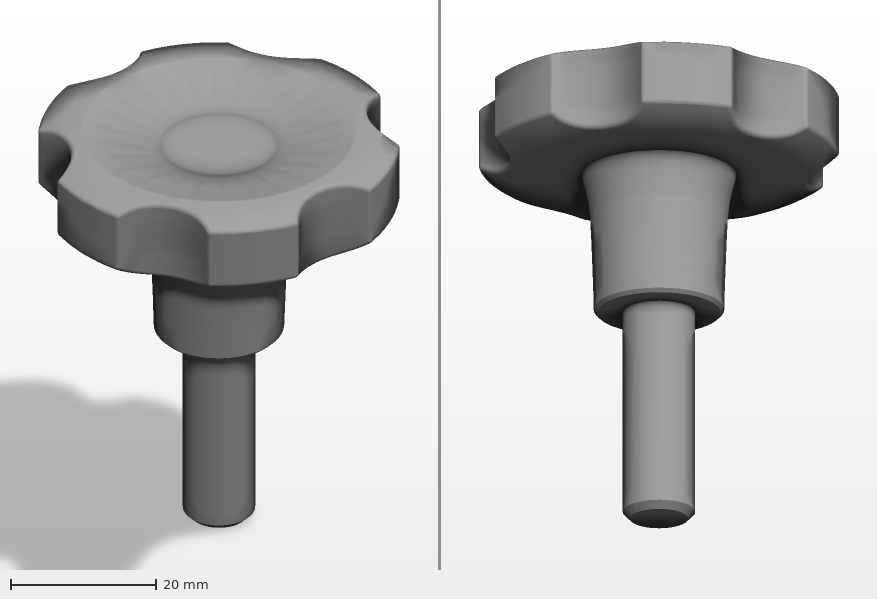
import cadquery as cq
import math

total_height = 62.0
stud_length = 30.0
head_thickness = 12.0
head_bottom = total_height - head_thickness

stud_radius = 10.0 / 2
stud_chamfer = 1.0

boss_end_radius = 9.0
boss_waist_radius = 9.5
boss_waist_height = 44.0
boss_top_radius = 10.65
boss_flare_sag = 0.2
boss_edge_chamfer = 0.5

head_radius = 24.9
top_shoulder_drop = 1.3
bottom_shoulder_drop = 2.05
shoulder_radius = 18.9
head_fillet = 0.6

scallop_count = 6
scallop_radius = 8.45
scallop_depth_radius = 20.9
first_scallop_angle = 90.0

tolerance = 0.005

dish_radius = 18.8
dish_floor_radius = 8.05
dish_depth = 2.5
dish_fillet = 1.25


def shoulder_midpoint(drop):
    """Radius and drop at the middle of a shoulder arc that is tangent to the flat face."""
    run = head_radius - shoulder_radius
    arc_radius = (run**2 + drop**2) / (2 * drop)
    half_angle = math.asin(run / arc_radius) / 2
    mid_radius = shoulder_radius + arc_radius * math.sin(half_angle)
    mid_drop = arc_radius * (1 - math.cos(half_angle))
    return mid_radius, mid_drop


def make_head():
    """Disc with rounded shoulders, six scallops and softened outer edges."""
    top_mid_radius, top_mid_drop = shoulder_midpoint(top_shoulder_drop)
    bottom_mid_radius, bottom_mid_drop = shoulder_midpoint(bottom_shoulder_drop)
    head = (
        cq.Workplane("XZ")
        .moveTo(0, head_bottom)
        .lineTo(shoulder_radius, head_bottom)
        .threePointArc(
            (bottom_mid_radius, head_bottom + bottom_mid_drop),
            (head_radius, head_bottom + bottom_shoulder_drop),
        )
        .lineTo(head_radius, total_height - top_shoulder_drop)
        .threePointArc(
            (top_mid_radius, total_height - top_mid_drop),
            (shoulder_radius, total_height),
        )
        .lineTo(0, total_height)
        .close()
        .revolve(360, (0, 0, 0), (0, 1, 0))
    )
    scallops = (
        cq.Workplane("XY")
        .workplane(offset=head_bottom)
        .polarArray(scallop_depth_radius + scallop_radius, first_scallop_angle, 360, scallop_count)
        .circle(scallop_radius)
        .extrude(head_thickness)
    )
    head = head.cut(scallops)

    rim_edges = [
        edge for edge in head.edges().vals()
        if math.hypot(edge.startPoint().x, edge.startPoint().y) > shoulder_radius + head_fillet
    ]
    return head.newObject(rim_edges).fillet(head_fillet)


def cut_dish(body):
    """Conical recess with a flat floor in the top face."""
    floor_height = total_height - dish_depth
    dish = (
        cq.Workplane("XZ")
        .moveTo(0, floor_height)
        .lineTo(dish_floor_radius, floor_height)
        .lineTo(dish_radius, total_height)
        .lineTo(0, total_height)
        .close()
        .revolve(360, (0, 0, 0), (0, 1, 0))
    )
    dished = body.cut(dish)
    dish_edges = [
        edge for edge in dished.edges("%CIRCLE").vals()
        if edge.Center().z >= floor_height - tolerance
        and (
            abs(edge.radius() - dish_floor_radius) < tolerance
            or abs(edge.radius() - dish_radius) < tolerance
        )
    ]
    return dished.newObject(dish_edges).fillet(dish_fillet)


def make_boss_and_stud():
    """Turned boss with a flared top, and the stud with its chamfered tip."""
    flare_mid = (
        (boss_waist_radius + boss_top_radius) / 2 - boss_flare_sag,
        (boss_waist_height + head_bottom) / 2,
    )
    return (
        cq.Workplane("XZ")
        .moveTo(0, 0)
        .lineTo(stud_radius - stud_chamfer, 0)
        .lineTo(stud_radius, stud_chamfer)
        .lineTo(stud_radius, stud_length)
        .lineTo(boss_end_radius - boss_edge_chamfer, stud_length)
        .lineTo(boss_end_radius, stud_length + boss_edge_chamfer)
        .lineTo(boss_waist_radius, boss_waist_height)
        .threePointArc(flare_mid, (boss_top_radius, head_bottom))
        .lineTo(0, head_bottom)
        .close()
        .revolve(360, (0, 0, 0), (0, 1, 0))
    )


result = cut_dish(make_head()).union(make_boss_and_stud())